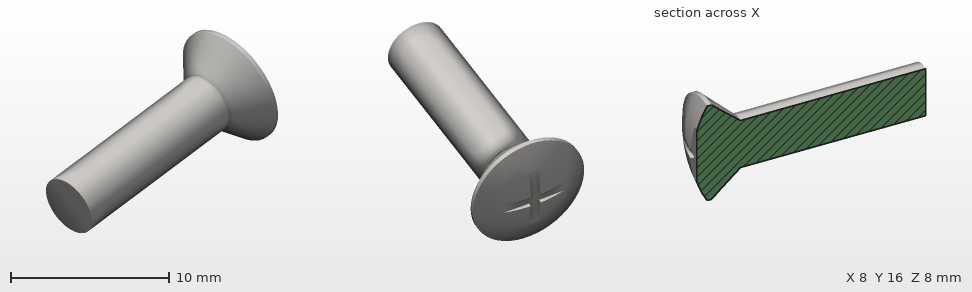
import cadquery as cq

head_diameter = 8.0
shank_diameter = 4.0
total_length = 16.0
dome_height = 1.0
rim_height = 0.3
slot_width = 0.73
slot_depth = 0.29

head_radius = head_diameter / 2
shank_radius = shank_diameter / 2
cone_height = head_radius - shank_radius
dome_radius = (head_radius**2 + dome_height**2) / (2 * dome_height)

rim_bottom = -rim_height
cone_bottom = rim_bottom - cone_height
shank_end = dome_height - total_length

dome_mid_x = head_radius / 2
dome_mid_y = dome_height - dome_radius + (dome_radius**2 - dome_mid_x**2) ** 0.5


def make_body():
    """Revolve the half profile of shank, countersink, rim and dome about Y."""
    return (
        cq.Workplane("XY")
        .moveTo(0, shank_end)
        .lineTo(shank_radius, shank_end)
        .lineTo(shank_radius, cone_bottom)
        .lineTo(head_radius, rim_bottom)
        .lineTo(head_radius, 0)
        .threePointArc((dome_mid_x, dome_mid_y), (0, dome_height))
        .close()
        .revolve(360, (0, 0), (0, 1))
    )


def make_cross_slot():
    """Two flat-bottomed slots crossing on the axis, along X and along Z."""
    floor_y = dome_height - slot_depth
    centered = (True, False, True)
    slot_x = cq.Workplane("XY").box(head_diameter, slot_depth, slot_width, centered=centered)
    slot_z = cq.Workplane("XY").box(slot_width, slot_depth, head_diameter, centered=centered)
    return slot_x.union(slot_z).translate((0, floor_y, 0))


result = make_body().cut(make_cross_slot())